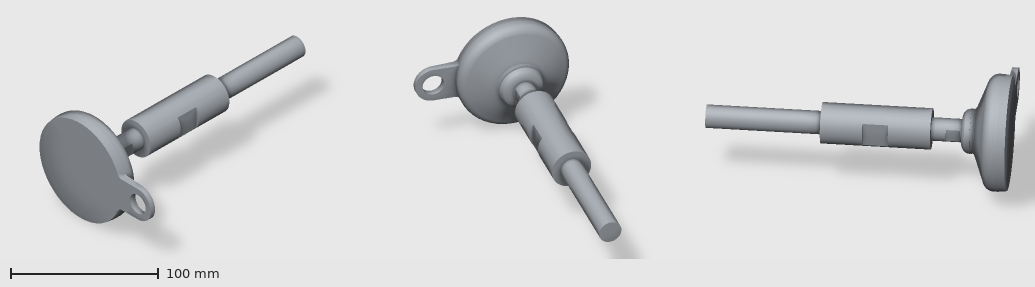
import cadquery as cq
import math


pad_radius = 80.0 / 2
floor_radius = 39.2
rim_bottom = 6.0
rim_top = 8.9
shoulder_radius = 7.6
cone_bottom = 15.7
cone_top = 23.1
cone_top_radius = 16.5

collar_neck_radius = 15.0
collar_neck_y = 24.4
collar_radius = 15.5
groove_bottom = 25.6
groove_top = 26.2
groove_depth = 0.6
collar_bulge_radius = 15.0
collar_bulge_y = 28.3
collar_shoulder_radius = 14.2
collar_shoulder_y = 30.1
collar_crown_radius = 12.8
collar_crown_y = 31.4
collar_top = 32.5

overall_width = 108.0
lug_end = overall_width - pad_radius
lug_radius = 12.5
lug_hole_diameter = 15.0
lug_end_thickness = 4.0
lug_fillet = 4.5
lug_center = lug_end - lug_radius

total_length = 206.5
spindle_diameter = 16.0
spindle_flat_width = 13.2
spindle_flat_bottom = 33.2
spindle_flat_top = 43.0

sleeve_diameter = 28.0
sleeve_bottom = 53.0
sleeve_length = 75.0
sleeve_flat_width = 22.0
sleeve_flat_length = 17.5
sleeve_middle = sleeve_bottom + sleeve_length / 2


def cylinder(diameter, bottom, top):
    """Cylinder on the Y axis between two heights."""
    plane = cq.Workplane("XZ", origin=(0, bottom, 0))
    return plane.circle(diameter / 2).extrude(bottom - top)


def cut_flats(body, diameter, across, bottom, top):
    """Cut two opposite wrench flats that face -X and +X."""
    depth = (diameter - across) / 2
    offset = (across + depth) / 2
    for side in (-1, 1):
        cutter = cq.Workplane("XY").box(depth, top - bottom, diameter)
        body = body.cut(cutter.translate((side * offset, (bottom + top) / 2, 0)))
    return body


def make_pad():
    """Revolved pad with its rounded shoulder, cone and grooved collar."""
    arc_center = pad_radius - shoulder_radius

    def shoulder_point(angle):
        return (
            arc_center + shoulder_radius * math.cos(angle),
            rim_top + shoulder_radius * math.sin(angle),
        )

    arc_end_angle = math.asin((cone_bottom - rim_top) / shoulder_radius)
    profile = (
        cq.Workplane("XY")
        .lineTo(floor_radius, 0)
        .lineTo(pad_radius, rim_bottom)
        .lineTo(pad_radius, rim_top)
        .threePointArc(shoulder_point(arc_end_angle / 2), shoulder_point(arc_end_angle))
        .lineTo(cone_top_radius, cone_top)
        .lineTo(collar_neck_radius, collar_neck_y)
        .lineTo(collar_radius, groove_bottom)
        .lineTo(collar_radius - groove_depth, groove_bottom)
        .lineTo(collar_radius - groove_depth, groove_top)
        .lineTo(collar_radius, groove_top)
        .threePointArc((collar_bulge_radius, collar_bulge_y), (collar_shoulder_radius, collar_shoulder_y))
        .threePointArc((collar_crown_radius, collar_crown_y), (spindle_diameter / 2, collar_top))
        .lineTo(0, collar_top)
        .close()
    )
    return profile.revolve(360, (0, 0, 0), (0, 1, 0))


def make_lug():
    """Round-ended lug, filleted into the pad and thinning towards its end."""
    fillet_z = lug_radius + lug_fillet
    center_distance = floor_radius + lug_fillet
    fillet_x = math.sqrt(center_distance**2 - fillet_z**2)
    touch_scale = floor_radius / center_distance
    touch_x = fillet_x * touch_scale
    touch_z = fillet_z * touch_scale
    middle_angle = (math.atan2(fillet_z, fillet_x) + math.pi / 2) / 2
    middle_x = fillet_x - lug_fillet * math.cos(middle_angle)
    middle_z = fillet_z - lug_fillet * math.sin(middle_angle)
    outline = (
        cq.Workplane("XZ")
        .moveTo(0, touch_z)
        .lineTo(touch_x, touch_z)
        .threePointArc((middle_x, middle_z), (fillet_x, lug_radius))
        .lineTo(lug_center, lug_radius)
        .threePointArc((lug_end, 0), (lug_center, -lug_radius))
        .lineTo(fillet_x, -lug_radius)
        .threePointArc((middle_x, -middle_z), (touch_x, -touch_z))
        .lineTo(0, -touch_z)
        .close()
        .extrude(-rim_bottom)
    )
    side_profile = (
        cq.Workplane("XY")
        .lineTo(lug_end, 0)
        .lineTo(lug_end, lug_end_thickness)
        .lineTo(touch_x, rim_bottom)
        .lineTo(0, rim_bottom)
        .close()
        .extrude(touch_z, both=True)
    )
    return outline.intersect(side_profile)


def make_foot():
    """Pad, lug and spindle as one solid."""
    spindle = cylinder(spindle_diameter, 0, total_length)
    spindle = cut_flats(
        spindle, spindle_diameter, spindle_flat_width, spindle_flat_bottom, spindle_flat_top
    )
    lug_hole = cylinder(lug_hole_diameter, 0, rim_bottom).translate((lug_center, 0, 0))
    return make_pad().union(make_lug()).union(spindle).cut(lug_hole)


def make_sleeve():
    """Sleeve around the spindle with two wrench flats at mid-length."""
    sleeve_top = sleeve_bottom + sleeve_length
    sleeve = cylinder(sleeve_diameter, sleeve_bottom, sleeve_top)
    sleeve = cut_flats(
        sleeve,
        sleeve_diameter,
        sleeve_flat_width,
        sleeve_middle - sleeve_flat_length / 2,
        sleeve_middle + sleeve_flat_length / 2,
    )
    return sleeve.cut(cylinder(spindle_diameter, sleeve_bottom, sleeve_top))


foot = make_foot()
sleeve = make_sleeve()
result = cq.Compound.makeCompound([foot.solids().val(), sleeve.solids().val()])